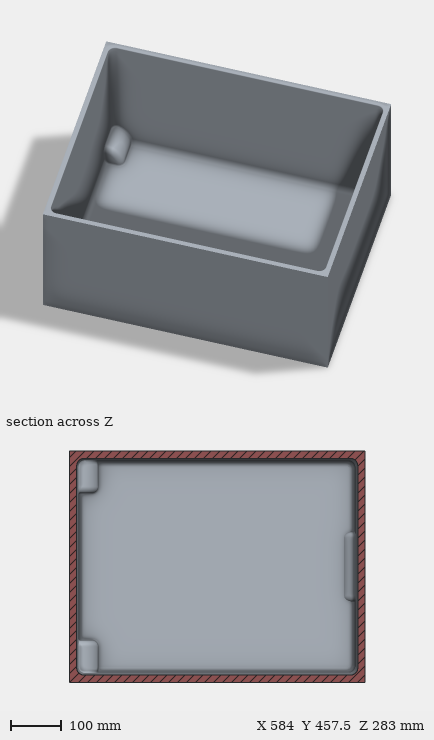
import cadquery as cq
import math

length = 584.0
width = 457.5
height = 283.0

opening_inset = 10.5
floor_thickness = 9.0
draft_angle = 2.0
corner_radius = 14.0
floor_radius = 12.0
rim_radius = 2.0

block_axis_inset = 13.5
block_radius = 44.5
block_end_inset = 83.0
block_end_radius = 11.5
block_foot_radius = 3.5
selection_margin = 0.5

wedge_length = 138.0
wedge_toe_inset = 41.5
wedge_slope = 45.0
wedge_end_radius = 11.5


def make_cavity():
    """Drafted pocket with rounded corners and floor edges."""
    return (
        cq.Workplane("XY", origin=(0, 0, height))
        .rect(length - 2 * opening_inset, width - 2 * opening_inset)
        .extrude(floor_thickness - height, taper=draft_angle)
        .edges("not(#Z)")
        .edges("not(|X or |Y)")
        .fillet(corner_radius)
        .faces("<Z")
        .edges()
        .fillet(floor_radius)
    )


def make_corner_block(side):
    """Quarter-round block lying along the -X wall; side is +1 or -1 in Y."""
    axis_x = block_axis_inset - length / 2
    block = (
        cq.Workplane("XZ", origin=(axis_x, width / 2, floor_thickness))
        .lineTo(block_radius, 0)
        .radiusArc((0, block_radius), -block_radius)
        .close()
        .extrude(block_end_inset)
        .faces("<Y")
        .edges("%CIRCLE")
        .fillet(block_end_radius)
    )
    return block if side > 0 else block.mirror("XZ")


def make_wedge():
    """Ramp rising from the floor to the +X wall, with rounded ends."""
    toe_x = length / 2 - wedge_toe_inset
    rise = wedge_toe_inset * math.tan(math.radians(wedge_slope))
    return (
        cq.Workplane("XZ", origin=(toe_x, wedge_length / 2, floor_thickness))
        .lineTo(wedge_toe_inset, 0)
        .lineTo(wedge_toe_inset, rise)
        .close()
        .extrude(wedge_length)
        .edges("not(|X or |Y or |Z)")
        .fillet(wedge_end_radius)
    )


def block_zone(side):
    """Selector for the edges where a corner block meets the floor and the walls."""
    near_corner = (-length / 2, side * width / 2, 0)
    far_corner = (
        block_axis_inset + block_radius - length / 2 + selection_margin,
        side * (width / 2 - block_end_inset - selection_margin),
        floor_thickness + block_radius + selection_margin,
    )
    return cq.selectors.BoxSelector(near_corner, far_corner)


cavity = make_cavity().cut(make_wedge())
for side in (1, -1):
    cavity = cavity.cut(make_corner_block(side))

result = cq.Workplane("XY").box(length, width, height, centered=(True, True, False)).cut(cavity)

result = result.faces(">Z").edges("not(<X or >X or <Y or >Y)").fillet(rim_radius)

for side in (1, -1):
    result = result.edges(block_zone(side)).edges("not %CIRCLE").fillet(block_foot_radius)